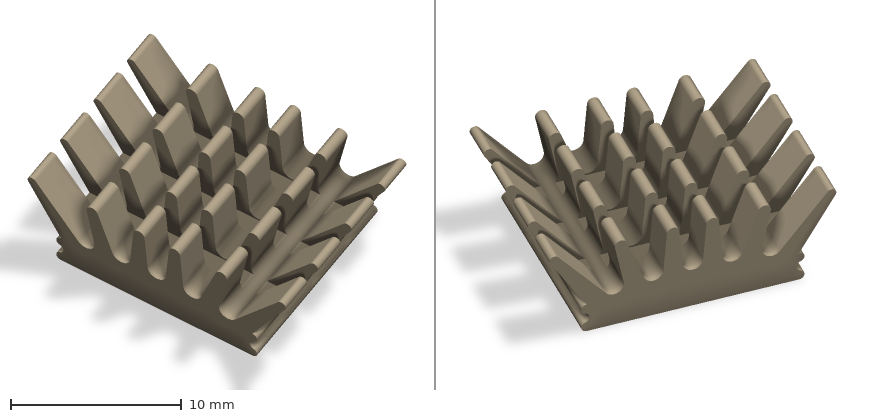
import cadquery as cq
import math

WIDTH = 18.0
LENGTH = 13.0
HEIGHT = 6.2

BASE_WIDTH = 14.0
SIDE_EDGE_HEIGHT = 2.0
LOBE_RADIUS = SIDE_EDGE_HEIGHT / 6
GROOVE_RADIUS = 0.36
GROOVE_HEIGHT = SIDE_EDGE_HEIGHT / 2

OUTER_TIP_RADIUS = 0.3
TIP_RADIUS = 0.4
MIDDLE_FIN_X = 4.5
INNER_FIN_X = 1.25

VALLEY_RADIUS = 0.63
OUTER_VALLEY = (4.97, 2.9)
MIDDLE_VALLEY = (2.48, 3.2)
CENTER_VALLEY = (0, 3.31)

SLOT_COUNT = 3
SLOT_WIDTH = 1.2
SLOT_PITCH = 3.6
SLOT_FLOOR = 2.47


def point_at(center, radius, angle):
    """Point on a circle in the XZ plane."""
    return (center[0] + radius * math.cos(angle), center[1] + radius * math.sin(angle))


def tip_center(x, radius):
    return (x, HEIGHT - radius)


def valley_to_tip(valley, tip, tip_radius, outward):
    """Ends of the fin side that touches both a valley circle and a tip circle.

    The two circles lie on opposite sides of the line. With outward = 1 the tip
    lies on the +X side of it, with outward = -1 on the -X side.
    """
    dx = tip[0] - valley[0]
    dz = tip[1] - valley[1]
    turn = math.acos((VALLEY_RADIUS + tip_radius) / math.hypot(dx, dz))
    angle = math.atan2(dz, dx) - outward * turn
    return (
        point_at(valley, VALLEY_RADIUS, angle),
        point_at(tip, tip_radius, angle + math.pi),
    )


def point_to_tip(point, tip, tip_radius):
    """Where a line rising from a point touches the +X side of a tip circle."""
    dx = point[0] - tip[0]
    dz = point[1] - tip[1]
    turn = math.acos(tip_radius / math.hypot(dx, dz))
    return point_at(tip, tip_radius, math.atan2(dz, dx) + turn)


def arc_middle(center, radius, start, end, side):
    """Middle of the arc from start to end that lies above (1) or below (-1) its chord."""
    chord_angle = math.atan2(end[1] - start[1], end[0] - start[0])
    if math.cos(chord_angle) < 0:
        chord_angle += math.pi
    return point_at(center, radius, chord_angle + side * math.pi / 2)


def half_profile():
    """The +X half of the cross-section, closed along the plane of symmetry."""
    lobe_x = BASE_WIDTH / 2 - LOBE_RADIUS
    lower_lobe = (lobe_x, LOBE_RADIUS)
    upper_lobe = (lobe_x, SIDE_EDGE_HEIGHT - LOBE_RADIUS)
    lobe_top = (lobe_x, SIDE_EDGE_HEIGHT)

    rise = GROOVE_HEIGHT - LOBE_RADIUS
    center_distance = LOBE_RADIUS + GROOVE_RADIUS
    groove_angle = math.asin(rise / center_distance)
    groove_x = lobe_x + center_distance * math.cos(groove_angle)
    groove_start = point_at(lower_lobe, LOBE_RADIUS, groove_angle)
    groove_end = point_at(upper_lobe, LOBE_RADIUS, -groove_angle)

    outer_tip = tip_center(WIDTH / 2 - OUTER_TIP_RADIUS, OUTER_TIP_RADIUS)
    middle_tip = tip_center(MIDDLE_FIN_X, TIP_RADIUS)
    inner_tip = tip_center(INNER_FIN_X, TIP_RADIUS)

    profile = (
        cq.Workplane("XZ")
        .lineTo(lobe_x, 0)
        .threePointArc(point_at(lower_lobe, LOBE_RADIUS, 0), groove_start)
        .threePointArc((groove_x - GROOVE_RADIUS, GROOVE_HEIGHT), groove_end)
        .threePointArc(point_at(upper_lobe, LOBE_RADIUS, 0), lobe_top)
    )

    tip_start = point_to_tip(lobe_top, outer_tip, OUTER_TIP_RADIUS)
    profile = profile.lineTo(*tip_start)
    fins = [
        (outer_tip, OUTER_TIP_RADIUS, OUTER_VALLEY),
        (middle_tip, TIP_RADIUS, MIDDLE_VALLEY),
        (inner_tip, TIP_RADIUS, CENTER_VALLEY),
    ]
    for index, (tip, tip_radius, valley) in enumerate(fins):
        valley_start, tip_end = valley_to_tip(valley, tip, tip_radius, 1)
        tip_middle = arc_middle(tip, tip_radius, tip_start, tip_end, 1)
        profile = profile.threePointArc(tip_middle, tip_end).lineTo(*valley_start)
        if index + 1 < len(fins):
            next_tip, next_radius, _ = fins[index + 1]
            valley_end, tip_start = valley_to_tip(valley, next_tip, next_radius, -1)
            valley_middle = arc_middle(valley, VALLEY_RADIUS, valley_start, valley_end, -1)
            profile = profile.threePointArc(valley_middle, valley_end).lineTo(*tip_start)

    valley_bottom = (0, CENTER_VALLEY[1] - VALLEY_RADIUS)
    valley_middle = arc_middle(CENTER_VALLEY, VALLEY_RADIUS, valley_start, valley_bottom, -1)
    return profile.threePointArc(valley_middle, valley_bottom).close()


def slots():
    slot_height = HEIGHT - SLOT_FLOOR
    return (
        cq.Workplane("XY", origin=(0, 0, SLOT_FLOOR))
        .rarray(0.18, SLOT_PITCH, 1, SLOT_COUNT)
        .box(WIDTH, SLOT_WIDTH, slot_height, centered=(True, True, False))
    )


half_body = half_profile().extrude(LENGTH / 2, both=True)
body = half_body.union(half_body.mirror("YZ"))
result = body.cut(slots())